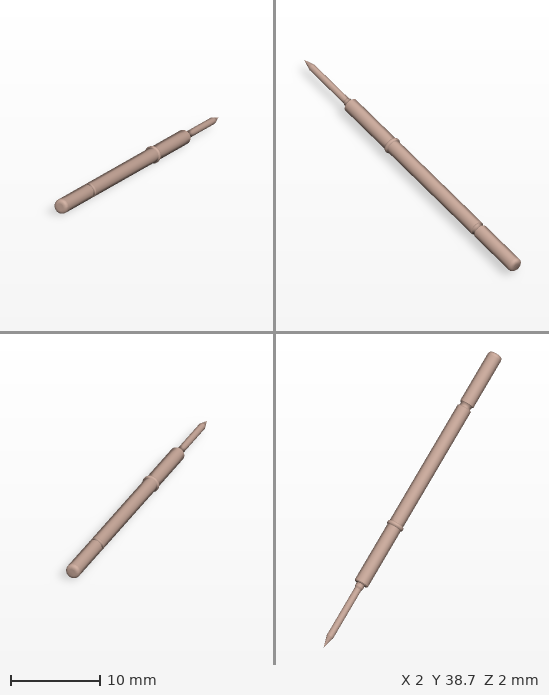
import cadquery as cq

total_length = 38.7

barrel_radius = 0.85
barrel_length = 30.35
rear_round_radius = 0.43
front_chamfer = 0.1

groove_station = 6.9
groove_width = 0.58
groove_depth = 0.2

collar_station = 22.65
collar_width = 0.5
collar_radius = 1.0

neck_radius = 0.5
neck_front_station = 30.75
shank_diameter = 0.8
shank_radius = shank_diameter / 2
shank_rear_station = 31.0
shank_front_station = 37.25


def revolve_profile(profile):
    """Turn a closed radius-station profile around the Y axis."""
    return profile.close().revolve(360, (0, 0, 0), (0, 1, 0))


def make_barrel():
    groove_rear = groove_station - groove_width / 2
    groove_front = groove_station + groove_width / 2
    profile = (
        cq.Workplane("XY")
        .lineTo(barrel_radius - rear_round_radius, 0)
        .radiusArc((barrel_radius, rear_round_radius), -rear_round_radius)
        .lineTo(barrel_radius, groove_rear)
        .threePointArc(
            (barrel_radius - groove_depth, groove_station),
            (barrel_radius, groove_front),
        )
        .lineTo(barrel_radius, barrel_length - front_chamfer)
        .lineTo(barrel_radius - front_chamfer, barrel_length)
        .lineTo(0, barrel_length)
    )
    return revolve_profile(profile)


def make_collar():
    """Ring with a rounded crown, reaching in to the axis so that it fuses with the barrel."""
    collar_rear = collar_station - collar_width / 2
    collar_front = collar_station + collar_width / 2
    profile = (
        cq.Workplane("XY")
        .moveTo(0, collar_rear)
        .lineTo(barrel_radius, collar_rear)
        .threePointArc((collar_radius, collar_station), (barrel_radius, collar_front))
        .lineTo(0, collar_front)
    )
    return revolve_profile(profile)


def make_needle():
    """Neck at the barrel mouth, tapering to a slim shank with a conical point."""
    profile = (
        cq.Workplane("XY")
        .moveTo(0, barrel_length)
        .lineTo(neck_radius, barrel_length)
        .lineTo(neck_radius, neck_front_station)
        .lineTo(shank_radius, shank_rear_station)
        .lineTo(shank_radius, shank_front_station)
        .lineTo(0, total_length)
    )
    return revolve_profile(profile)


result = make_barrel().union(make_collar()).union(make_needle())